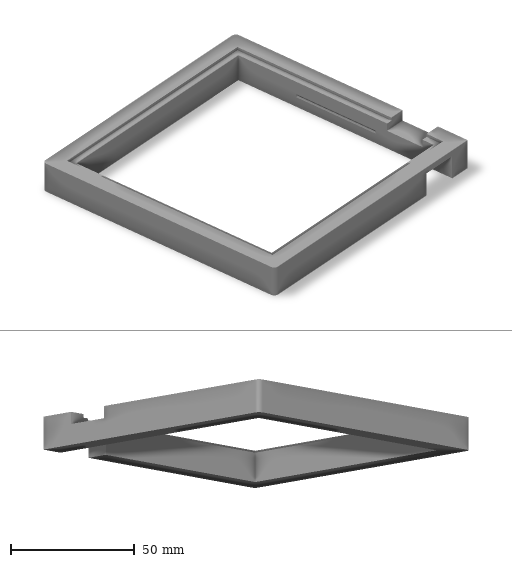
import cadquery as cq

frame_side = 122.0
frame_height = 13.5
corner_radius = 2.0
opening_side = 102.5

ledge_width = 2.7
ledge_depth = 1.5

gap_left = 26.8
gap_width = 18.5
gap_depth = 5.0

passage_width = 16.2
bridge_thickness = 1.3

groove_length = 41.5
groove_height = 1.5
groove_depth = 0.4
groove_middle_z = 5.4

wall_thickness = (frame_side - opening_side) / 2
half_opening = opening_side / 2
ledge_z = frame_height - ledge_depth


def block(x_start, y_start, z_start, x_size, y_size, z_size):
    """Box placed by its lowest corner."""
    box = cq.Workplane("XY").box(x_size, y_size, z_size, centered=False)
    return box.translate((x_start, y_start, z_start))


def square_prism(side, z_start, height):
    """Square block centred on the Z axis."""
    return block(-side / 2, -side / 2, z_start, side, side, height)


def rounded_body():
    """Outer block with three rounded upright corners; the +X +Y corner stays sharp."""
    body = square_prism(frame_side, 0, frame_height)
    return body.edges("|Z").edges("<X or <Y").fillet(corner_radius)


def opening():
    through_hole = square_prism(opening_side, 0, frame_height)
    ledge = square_prism(opening_side + 2 * ledge_width, ledge_z, ledge_depth)
    return through_hole.union(ledge)


def back_wall_gap():
    gap_floor = frame_height - gap_depth
    return block(gap_left, half_opening, gap_floor, gap_width, wall_thickness, gap_depth)


def side_wall_passage():
    passage_height = ledge_z - bridge_thickness
    passage_start = half_opening - passage_width
    return block(half_opening, passage_start, 0, wall_thickness, passage_width, passage_height)


def back_wall_groove():
    """Triangular prism along X, with its tip inside the back wall."""
    mouth = half_opening
    tip = half_opening + groove_depth
    profile = [
        (mouth, groove_middle_z - groove_height / 2),
        (tip, groove_middle_z),
        (mouth, groove_middle_z + groove_height / 2),
    ]
    return cq.Workplane("YZ").polyline(profile).close().extrude(groove_length / 2, both=True)


result = (
    rounded_body()
    .cut(opening())
    .cut(back_wall_gap())
    .cut(side_wall_passage())
    .cut(back_wall_groove())
)